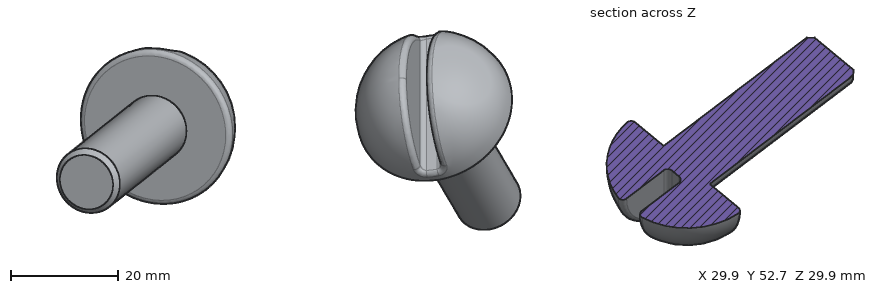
import cadquery as cq
import math

shank_length = 38.0
shank_diameter = 12.55
tip_chamfer = 1.0

dome_radius = 15.0
rim_radius = 1.0

slot_width = 4.0
slot_floor_height = 3.0
slot_corner_radius = 1.0
slot_edge_radius = 1.0


def make_shank():
    """Plain cylinder with a chamfered tip."""
    shank = cq.Workplane("XZ").circle(shank_diameter / 2).extrude(-shank_length)
    return shank.faces("<Y").chamfer(tip_chamfer)


def make_dome():
    """Hemisphere whose flat underside meets the shank."""
    arc_mid = dome_radius * math.sqrt(0.5)
    return (
        cq.Workplane("XY", origin=(0, shank_length, 0))
        .lineTo(dome_radius, 0)
        .threePointArc((arc_mid, arc_mid), (0, dome_radius))
        .close()
        .revolve(360, (0, 0, 0), (0, 1, 0))
    )


def make_slot_cutter():
    """Block along Z with rounded lower corners, reaching past the dome."""
    slot_floor = shank_length + slot_floor_height
    return (
        cq.Workplane("XY")
        .box(slot_width, dome_radius, 2 * dome_radius, centered=(True, False, True))
        .faces("<Y").edges("|Z").fillet(slot_corner_radius)
        .translate((0, slot_floor, 0))
    )


def make_head():
    """Slotted dome with rounded slot mouth and rim."""
    head = make_dome().cut(make_slot_cutter())
    slot_mouth = head.faces("%SPHERE").edges().filter(lambda edge: edge.Center().y > shank_length + rim_radius)
    head = head.newObject(slot_mouth.vals()).fillet(slot_edge_radius)
    return head.faces("<Y").edges().fillet(rim_radius)


result = make_head().union(make_shank())